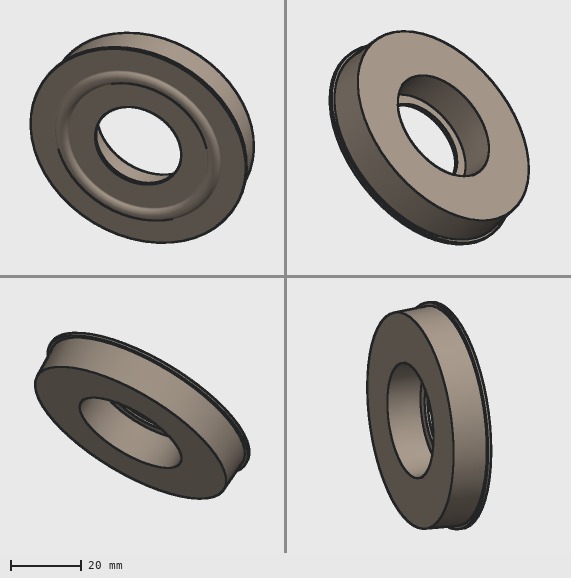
import cadquery as cq
import math

flange_radius = 32.5
flange_thickness = 1.0
body_length = 10.0
body_front_radius = 31.5
body_back_radius = 31.0
bore_radius = 13.0
recess_front_radius = 16.0
recess_back_radius = 16.5

bead_center_radius = 23.0
bead_arc_radius = 2.0
bead_height = 1.5
bead_foot_fillet = 0.5

flange_back = flange_thickness
body_back = flange_back + body_length


def make_body():
    """Bored flange and body, tapered outside and in its wider bore."""
    return (
        cq.Workplane("ZY")
        .moveTo(bore_radius, 0)
        .lineTo(flange_radius, 0)
        .lineTo(flange_radius, flange_back)
        .lineTo(body_front_radius, flange_back)
        .lineTo(body_back_radius, body_back)
        .lineTo(recess_back_radius, body_back)
        .lineTo(recess_front_radius, flange_back)
        .lineTo(bore_radius, flange_back)
        .close()
        .revolve(360, (0, 0, 0), (0, 1, 0))
    )


def make_bead():
    """Rounded ring whose feet blend into the flange face with concave fillets."""
    center_y = bead_arc_radius - bead_height
    center_distance = bead_arc_radius + bead_foot_fillet
    fillet_center_y = -bead_foot_fillet
    foot_offset = math.sqrt(center_distance**2 - (center_y - fillet_center_y) ** 2)
    blend = bead_arc_radius / center_distance
    blend_offset = foot_offset * blend
    blend_y = center_y + (fillet_center_y - center_y) * blend

    blend_angle = math.atan2(blend_y - fillet_center_y, blend_offset - foot_offset)
    middle_angle = (blend_angle % (2 * math.pi) + math.pi / 2) / 2
    middle_offset = foot_offset + bead_foot_fillet * math.cos(middle_angle)
    middle_y = fillet_center_y + bead_foot_fillet * math.sin(middle_angle)

    inner_foot = (bead_center_radius - foot_offset, 0)
    inner_middle = (bead_center_radius - middle_offset, middle_y)
    inner_blend = (bead_center_radius - blend_offset, blend_y)
    crest = (bead_center_radius, -bead_height)
    outer_blend = (bead_center_radius + blend_offset, blend_y)
    outer_middle = (bead_center_radius + middle_offset, middle_y)
    outer_foot = (bead_center_radius + foot_offset, 0)

    root_y = flange_thickness / 2
    return (
        cq.Workplane("ZY")
        .moveTo(*inner_foot)
        .threePointArc(inner_middle, inner_blend)
        .threePointArc(crest, outer_blend)
        .threePointArc(outer_middle, outer_foot)
        .lineTo(outer_foot[0], root_y)
        .lineTo(inner_foot[0], root_y)
        .close()
        .revolve(360, (0, 0, 0), (0, 1, 0))
    )


result = make_body().union(make_bead())